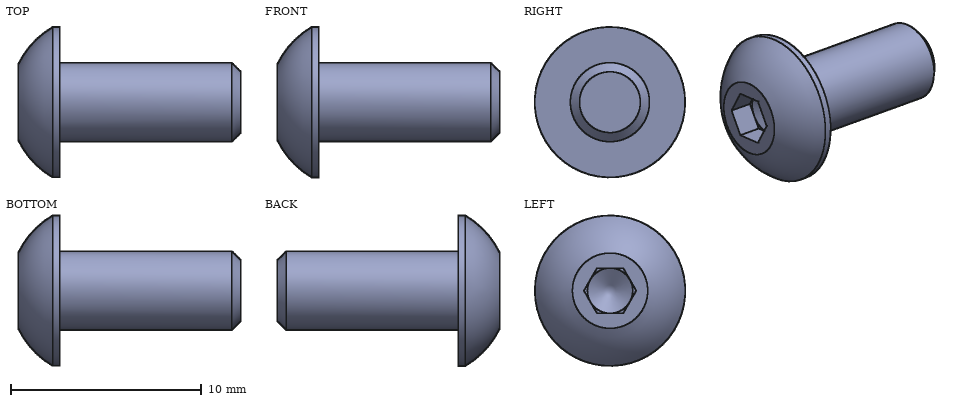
import cadquery as cq
import math

total_length = 11.73
head_diameter = 7.93
head_height = 2.2
rim_thickness = 0.38
face_diameter = 3.96
shank_diameter = 4.16
tip_chamfer = 0.48
socket_width = 2.38
socket_depth = 1.3
cone_half_angle = 60.0

head_radius = head_diameter / 2
face_radius = face_diameter / 2
dome_height = head_height - rim_thickness

dome_center = (dome_height**2 + head_radius**2 - face_radius**2) / (2 * dome_height)
dome_radius = math.hypot(dome_center, face_radius)
mid_x = dome_height / 2
mid_radius = math.sqrt(dome_radius**2 - (dome_center - mid_x) ** 2)


def make_head():
    """Revolve the domed head with its flat face and straight rim."""
    profile = (
        cq.Workplane("XY")
        .lineTo(0, face_radius)
        .threePointArc((mid_x, mid_radius), (dome_height, head_radius))
        .lineTo(head_height, head_radius)
        .lineTo(head_height, 0)
        .close()
    )
    return profile.revolve(360, (0, 0, 0), (1, 0, 0))


def make_shank():
    """Plain cylinder with a chamfered tip."""
    shank = cq.Workplane("YZ", origin=(head_height, 0, 0)).circle(shank_diameter / 2)
    return shank.extrude(total_length - head_height).faces(">X").chamfer(tip_chamfer)


def make_socket():
    """Hexagonal recess, corners along Y, ending in a conical drill point."""
    across_corners = socket_width / math.cos(math.radians(30))
    cone_radius = socket_width / 2
    cone_depth = cone_radius / math.tan(math.radians(cone_half_angle))
    hexagon = cq.Workplane("YZ").polygon(6, across_corners).extrude(socket_depth)
    drill_point = (
        cq.Workplane("XY", origin=(socket_depth, 0, 0))
        .lineTo(0, cone_radius)
        .lineTo(cone_depth, 0)
        .close()
        .revolve(360, (0, 0, 0), (1, 0, 0))
    )
    return hexagon.union(drill_point)


result = make_head().union(make_shank()).cut(make_socket())